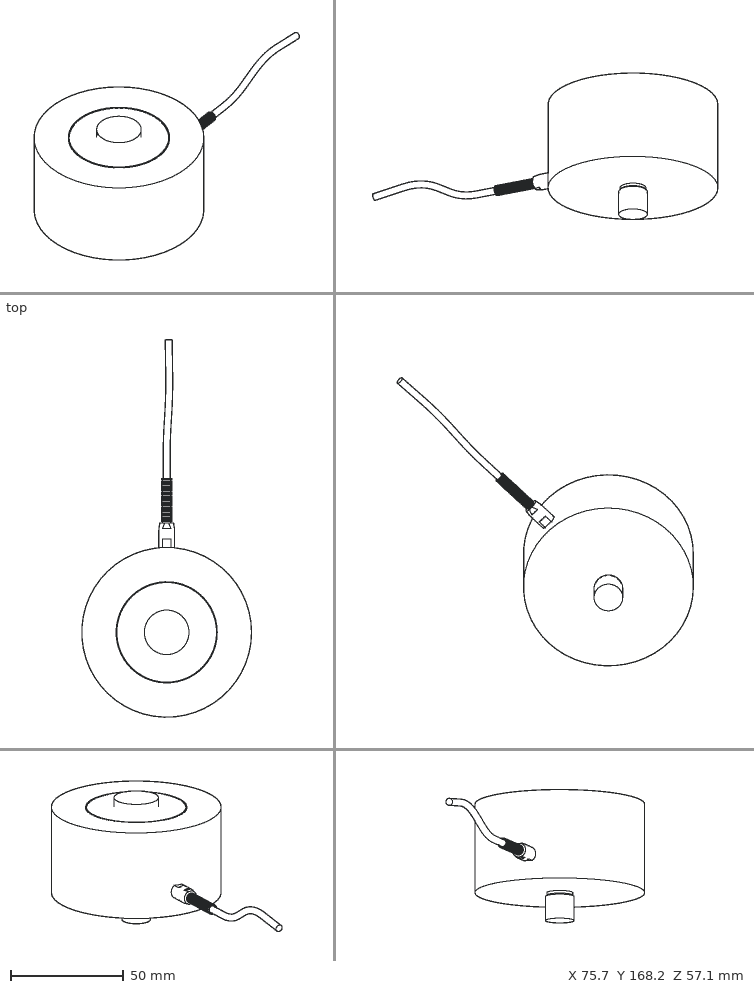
import cadquery as cq
import math


housing_diameter = 75.7
housing_height = 40.0
groove_outer_diameter = 45.0
groove_width = 0.3
groove_depth = 0.5
button_diameter = 19.8
button_height = 4.5
button_dome_rise = 0.2
button_base_fillet = 0.3
stud_diameter = 12.8
stud_neck_diameter = 11.6
stud_neck_length = 1.2
stud_chamfer = (stud_diameter - stud_neck_diameter) / 2
stud_length = 12.6

cable_axis_height = 11.3
barrel_diameter = 7.0
barrel_end = 46.2
barrel_flat_width = 5.9
barrel_flat_end = 41.5
collar_tip_diameter = 6.2
collar_flat_width = 6.0
collar_end = 48.8
relief_diameter = 4.5
relief_root_diameter = 3.9
relief_length = 19.7
rib_count = 20
rib_pitch = relief_length / rib_count
rib_width = rib_pitch / 2
relief_end = collar_end + relief_length
gland_socket_depth = 3.4
gland_start = housing_diameter / 2 - gland_socket_depth

cable_diameter = 3.2
cable_reach = 130.3
cable_bend_start = 78.5
cable_bend_radius = 26.4
cable_climb_angle = 30.0
cable_climb_length = 7.7
cable_tail_angle = -8.0
cable_lean_angle = 6.0


def make_housing():
    """Turned housing, button and stud, with the blind socket for the gland."""
    top = housing_height
    button_top = top + button_height
    button_radius = button_diameter / 2
    housing_radius = housing_diameter / 2
    neck_radius = stud_neck_diameter / 2
    stud_radius = stud_diameter / 2
    groove_outer_radius = groove_outer_diameter / 2
    groove_inner_radius = groove_outer_radius - groove_width
    dome_radius = (button_radius**2 + button_dome_rise**2) / (2 * button_dome_rise)
    body = (
        cq.Workplane("XZ")
        .moveTo(0, -stud_length)
        .lineTo(stud_radius, -stud_length)
        .lineTo(stud_radius, -stud_neck_length - stud_chamfer)
        .lineTo(neck_radius, -stud_neck_length)
        .lineTo(neck_radius, 0)
        .lineTo(housing_radius, 0)
        .lineTo(housing_radius, top)
        .lineTo(groove_outer_radius, top)
        .lineTo(groove_outer_radius, top - groove_depth)
        .lineTo(groove_inner_radius, top - groove_depth)
        .lineTo(groove_inner_radius, top)
        .lineTo(button_radius + button_base_fillet, top)
        .radiusArc((button_radius, top + button_base_fillet), button_base_fillet)
        .lineTo(button_radius, button_top - button_dome_rise)
        .radiusArc((0, button_top), -dome_radius)
        .close()
        .revolve(360, (0, 0), (0, 1))
    )
    return body.cut(make_barrel())


def along_cable_axis(start, end, diameter):
    """Cylinder on the cable axis between two distances from the load axis."""
    return cq.Workplane("XY").add(
        cq.Solid.makeCylinder(
            diameter / 2, end - start, cq.Vector(0, start, cable_axis_height), cq.Vector(0, 1, 0)
        )
    )


def keep_between_flats(body, start, end, width):
    """The part of a body from start to end along the cable, trimmed by a flat above and one below."""
    slab = cq.Workplane("XY").box(barrel_diameter, end - start, width)
    slab = slab.translate((0, (start + end) / 2, cable_axis_height))
    return body.intersect(slab)


def make_barrel():
    """Round barrel with two spanner flats, from the bottom of the socket outward."""
    barrel = along_cable_axis(gland_start, barrel_end, barrel_diameter)
    flatted_zone = keep_between_flats(barrel, gland_start, barrel_flat_end, barrel_flat_width)
    round_zone = along_cable_axis(barrel_flat_end, barrel_end, barrel_diameter)
    return flatted_zone.union(round_zone)


def make_collar():
    """Collar that tapers away from the barrel, with a flat above and one below."""
    taper = cq.Workplane("XY").add(
        cq.Solid.makeCone(
            barrel_diameter / 2,
            collar_tip_diameter / 2,
            collar_end - barrel_end,
            cq.Vector(0, barrel_end, cable_axis_height),
            cq.Vector(0, 1, 0),
        )
    )
    return keep_between_flats(taper, barrel_end, collar_end, collar_flat_width)


def make_strain_relief():
    """Ribbed sleeve, turned about the cable axis."""
    rib_radius = relief_diameter / 2
    root_radius = relief_root_diameter / 2
    axis = cable_axis_height
    profile = cq.Workplane("YZ").moveTo(collar_end, axis)
    for index in range(rib_count):
        groove_start = collar_end + index * rib_pitch
        rib_start = groove_start + rib_pitch - rib_width
        profile = (
            profile.lineTo(groove_start, axis + root_radius)
            .lineTo(rib_start, axis + root_radius)
            .lineTo(rib_start, axis + rib_radius)
            .lineTo(groove_start + rib_pitch, axis + rib_radius)
        )
    profile = profile.lineTo(relief_end, axis).close()
    return profile.revolve(360, (0, axis), (1, axis))


def make_gland():
    """Gland in one piece, bored through for the cable."""
    bore = along_cable_axis(gland_start, relief_end, cable_diameter)
    return make_barrel().union(make_collar()).union(make_strain_relief()).cut(bore)


def bend_points(start, start_angle, end_angle):
    """Midpoint and endpoint of a cable bend that turns from one slope to another."""
    start_slope = math.radians(start_angle)
    turn = math.copysign(1, end_angle - start_angle)

    def point_at(angle):
        slope = math.radians(angle)
        return (
            start[0] + turn * cable_bend_radius * (math.sin(slope) - math.sin(start_slope)),
            start[1] + turn * cable_bend_radius * (math.cos(start_slope) - math.cos(slope)),
        )

    return point_at((start_angle + end_angle) / 2), point_at(end_angle)


def make_cable():
    """Round cable swept along its path, leaning sideways about the cable axis."""
    climb = math.radians(cable_climb_angle)
    tail = math.radians(cable_tail_angle)
    bend_start = (cable_bend_start, cable_axis_height)
    first_mid, first_end = bend_points(bend_start, 0, cable_climb_angle)
    climb_end = (
        first_end[0] + cable_climb_length * math.cos(climb),
        first_end[1] + cable_climb_length * math.sin(climb),
    )
    second_mid, second_end = bend_points(climb_end, cable_climb_angle, cable_tail_angle)
    tail_run = cable_reach - cable_diameter / 2 * abs(math.sin(tail)) - second_end[0]
    tail_end = (second_end[0] + tail_run, second_end[1] + tail_run * math.tan(tail))
    path = (
        cq.Workplane("YZ")
        .moveTo(gland_start, cable_axis_height)
        .lineTo(*bend_start)
        .threePointArc(first_mid, first_end)
        .lineTo(*climb_end)
        .threePointArc(second_mid, second_end)
        .lineTo(*tail_end)
    )
    start_plane = cq.Plane((0, gland_start, cable_axis_height), (1, 0, 0), (0, 1, 0))
    cable = cq.Workplane(start_plane).circle(cable_diameter / 2).sweep(path)
    axis_start = (0, 0, cable_axis_height)
    axis_end = (0, 1, cable_axis_height)
    return cable.rotate(axis_start, axis_end, cable_lean_angle)


housing = make_housing()
gland = make_gland()
cable = make_cable()

result = cq.Compound.makeCompound([housing.val(), gland.val(), cable.val()])